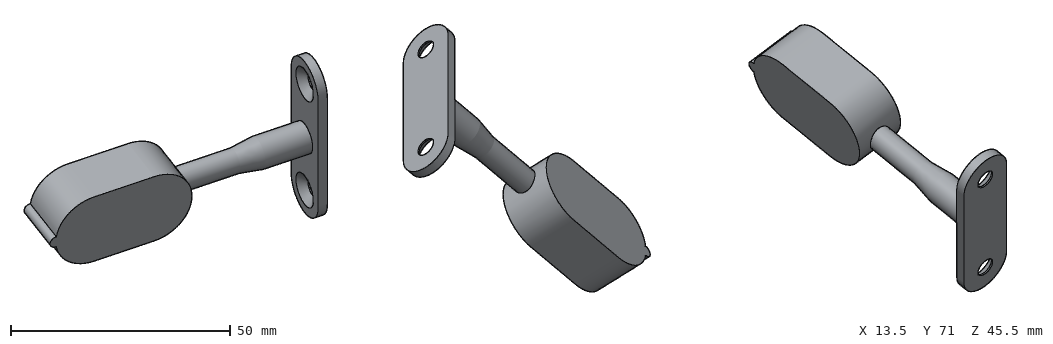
import cadquery as cq

plate_width = 13.5
plate_height = 45.5
plate_thickness = 2.4

screw_spacing = plate_height - plate_width
screw_hole_diameter = 4.6
countersink_diameter = 8.6
countersink_angle = 90

root_diameter = 8.0
root_length = 12.0
neck_length = 6.0
shank_diameter = 6.2

total_depth = 71.0
head_width = 13.0
head_length = 34.9
head_height = 19.4
lip_projection = 1.5
lip_height = 3.0

plate_front = plate_thickness
root_end = plate_front + root_length
neck_end = root_end + neck_length
head_end = total_depth - lip_projection
head_center = head_end - head_length / 2


def make_plate():
    """Obround plate with two holes countersunk from its front face."""
    plate = (
        cq.Workplane("XZ")
        .slot2D(plate_height, plate_width, 90)
        .extrude(plate_thickness)
    )
    return (
        plate.faces("<Y")
        .workplane(origin=(0, -plate_front, 0))
        .pushPoints([(0, -screw_spacing / 2), (0, screw_spacing / 2)])
        .cskHole(screw_hole_diameter, countersink_diameter, countersink_angle)
    )


def make_stem():
    """Stepped stem turned about Y, running into the middle of the head."""
    root_radius = root_diameter / 2
    shank_radius = shank_diameter / 2
    profile = [
        (0, 0),
        (root_radius, 0),
        (root_radius, -root_end),
        (shank_radius, -neck_end),
        (shank_radius, -head_center),
        (0, -head_center),
    ]
    return cq.Workplane("XY").polyline(profile).close().revolve(360, (0, 0), (0, 1))


def make_head():
    """Oval head, with a rounded lip across its full width."""
    head = (
        cq.Workplane("YZ")
        .center(-head_center, 0)
        .slot2D(head_length, head_height)
        .extrude(head_width / 2, both=True)
    )
    lip_length = total_depth - head_center
    lip = (
        cq.Workplane("YZ")
        .center(-head_center - lip_length / 2, 0)
        .slot2D(lip_length, lip_height)
        .extrude(head_width / 2, both=True)
    )
    return head.union(lip)


result = make_plate().union(make_stem()).union(make_head())